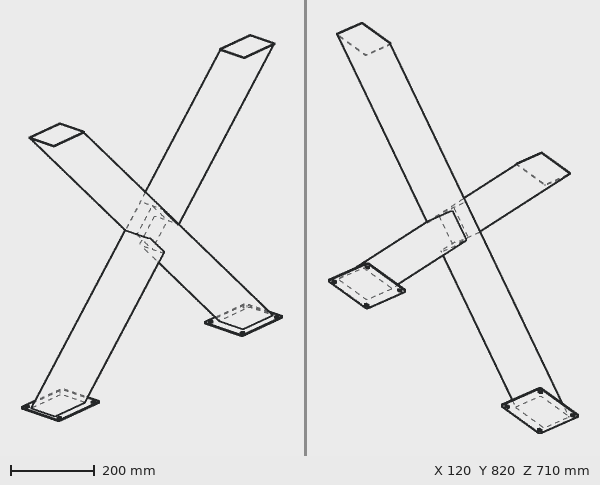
import cadquery as cq
HEIGHT = 710.0
LENGTH = 820.0

PLATE_WIDTH = 120.0
PLATE_LENGTH = 150.0
PLATE_THICKNESS = 3.0
PLATE_CORNER_RADIUS = 5.0
SLOT_LENGTH = 11.5
SLOT_WIDTH = 6.5
SLOT_SPACING_X = 100.0
SLOT_SPACING_Y = 125.5
SLOT_ANGLE = 90

BEAM_WIDTH = 77.0
BEAM_CORNER_RADIUS = 2.9
BEAM_END_LENGTH = 111.5
TOP_SPAN = 808.0
BOTTOM_SPAN = 799.0

CAP_THICKNESS = 2.0

BEAM_BOTTOM_Z = PLATE_THICKNESS
BEAM_TOP_Z = HEIGHT - CAP_THICKNESS
PLATE_CENTER_Y = (LENGTH - PLATE_LENGTH) / 2
CAP_CENTER_Y = (TOP_SPAN - BEAM_END_LENGTH) / 2
FOOT_CENTER_Y = (BOTTOM_SPAN - BEAM_END_LENGTH) / 2

SIDES = (1, -1)


def make_plate(side):
    """Base plate with four slots; side is the sign of Y on which it lies."""
    center = (0, side * PLATE_CENTER_Y)
    slots = (
        cq.Workplane("XY")
        .center(*center)
        .rarray(SLOT_SPACING_X, SLOT_SPACING_Y, 2, 2)
        .slot2D(SLOT_LENGTH, SLOT_WIDTH, SLOT_ANGLE)
        .extrude(PLATE_THICKNESS)
    )
    return (
        cq.Workplane("XY")
        .center(*center)
        .rect(PLATE_WIDTH, PLATE_LENGTH)
        .extrude(PLATE_THICKNESS)
        .edges("|Z")
        .fillet(PLATE_CORNER_RADIUS)
        .cut(slots)
    )


def make_full_beam(side):
    """Uncut sloped beam whose top end lies on the given side of Y and whose foot lies on the other."""
    half_end = BEAM_END_LENGTH / 2
    top_y = side * CAP_CENTER_Y
    foot_y = -side * FOOT_CENTER_Y
    outline = [
        (foot_y - half_end, BEAM_BOTTOM_Z),
        (foot_y + half_end, BEAM_BOTTOM_Z),
        (top_y + half_end, BEAM_TOP_Z),
        (top_y - half_end, BEAM_TOP_Z),
    ]
    slope = cq.Vector(0, top_y - foot_y, BEAM_TOP_Z - BEAM_BOTTOM_Z)
    return (
        cq.Workplane("YZ")
        .polyline(outline)
        .close()
        .extrude(BEAM_WIDTH / 2, both=True)
        .edges(cq.selectors.ParallelDirSelector(slope))
        .fillet(BEAM_CORNER_RADIUS)
    )


def make_beam(side):
    """Beam halved at the crossing, where the other beam fills the notch flush."""
    notch_space = cq.Workplane("XY").box(BEAM_WIDTH, LENGTH, HEIGHT, centered=(False, True, False))
    if side < 0:
        notch_space = notch_space.mirror("YZ")
    notch = make_full_beam(-side).intersect(notch_space)
    return make_full_beam(side).cut(notch)


def make_cap(side):
    """Thin square-cornered cap covering the top end of a beam."""
    return (
        cq.Workplane("XY", origin=(0, side * CAP_CENTER_Y, BEAM_TOP_Z))
        .rect(BEAM_WIDTH, BEAM_END_LENGTH)
        .extrude(CAP_THICKNESS)
    )


plates = [make_plate(side) for side in SIDES]
beams = [make_beam(side) for side in SIDES]
caps = [make_cap(side) for side in SIDES]

result = cq.Compound.makeCompound([body.val() for body in plates + beams + caps])